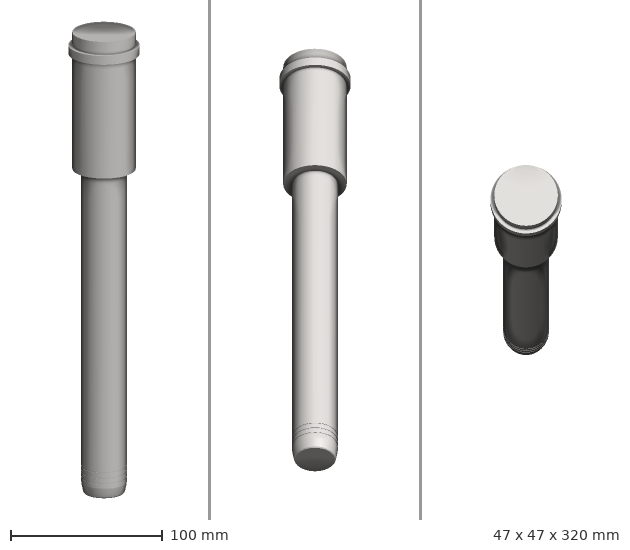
import cadquery as cq

total_length = 320.0
shaft_diameter = 30.0

head_diameter = 42.0
head_length = 95.0
collar_diameter = 47.0
collar_height = 6.0
collar_top_offset = 9.0

nose_height = 7.5
tip_diameter = 27.5
nose_bulge = 0.15
tip_chamfer = 0.5

groove_width = 1.0
groove_depth = 0.3
lubrication_groove_count = 3
lubrication_groove_pitch = 4.0
first_groove_center = 11.0


def cylinder(diameter, bottom, height):
    """Solid cylinder on the Z axis, starting at the given height."""
    return cq.Workplane("XY").workplane(offset=bottom).circle(diameter / 2).extrude(height)


def make_shaft():
    """Revolve the shaft profile, including the convex nose and its chamfered tip."""
    shaft_radius = shaft_diameter / 2
    tip_radius = tip_diameter / 2
    return (
        cq.Workplane("XZ")
        .lineTo(tip_radius - tip_chamfer, 0)
        .lineTo(tip_radius, tip_chamfer)
        .sagittaArc((shaft_radius, nose_height), -nose_bulge)
        .lineTo(shaft_radius, total_length)
        .lineTo(0, total_length)
        .close()
        .revolve(360, (0, 0, 0), (0, 1, 0))
    )


def make_groove(surface_diameter, bottom):
    """Ring of material to remove from a cylindrical surface."""
    outer = cylinder(surface_diameter, bottom, groove_width)
    core = cylinder(surface_diameter - 2 * groove_depth, bottom, groove_width)
    return outer.cut(core)


head_bottom = total_length - head_length
collar_top = total_length - collar_top_offset
collar_bottom = collar_top - collar_height

head = cylinder(head_diameter, head_bottom, head_length)
collar = cylinder(collar_diameter, collar_bottom, collar_height)
result = make_shaft().union(head).union(collar)

result = result.cut(make_groove(head_diameter, collar_top))
result = result.cut(make_groove(head_diameter, collar_bottom - groove_width))
result = result.cut(make_groove(shaft_diameter, head_bottom - groove_width))

for index in range(lubrication_groove_count):
    groove_center = first_groove_center + index * lubrication_groove_pitch
    result = result.cut(make_groove(shaft_diameter, groove_center - groove_width / 2))